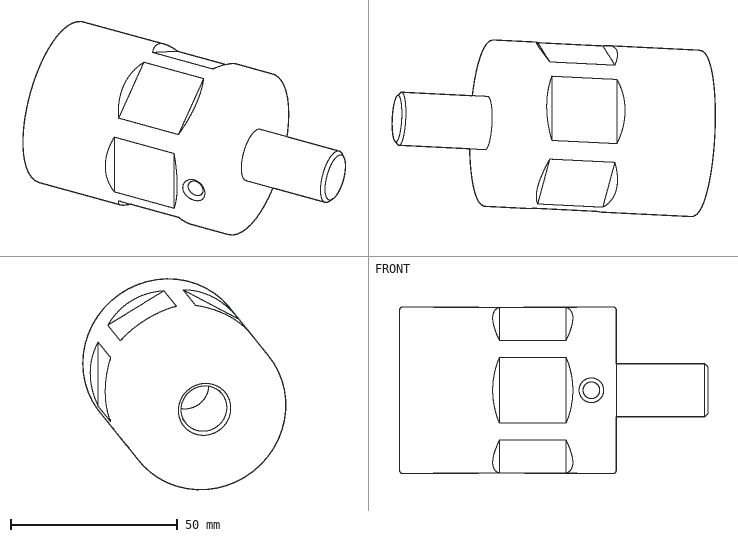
import cadquery as cq
import math

total_length = 92.5
body_diameter = 50.0
body_length = 65.0
body_rounding = 1.0
edge_chamfer = 1.0
cutter_clearance = 0.9

stud_diameter = 16.0
bore_diameter = 14.0
bore_depth = 30.0

flat_count = 6
across_flats = 46.0
flat_start = 30.0
flat_length = 20.0

pin_hole_diameter = 5.0
pin_hole_x = 57.5
pin_hole_depth = 10.0
pin_hole_tip_angle = 118.0
pin_hole_chamfer = 1.2

body_radius = body_diameter / 2
flat_apothem = across_flats / 2
flat_end = flat_start + flat_length


def make_body():
    """Rounded cylinder with the smaller stud on its +X end."""
    body = cq.Workplane("YZ").circle(body_radius).extrude(body_length)
    body = body.edges("%CIRCLE").fillet(body_rounding)
    stud = cq.Workplane("YZ", origin=(body_length, 0, 0)).circle(stud_diameter / 2)
    stud = stud.extrude(total_length - body_length)
    stud = stud.faces(">X").edges().chamfer(edge_chamfer)
    return body.union(stud)


def make_bore():
    """Blind axial bore with a chamfered mouth."""
    bore_radius = bore_diameter / 2
    profile = [
        (0, 0),
        (0, bore_radius + edge_chamfer),
        (edge_chamfer, bore_radius),
        (bore_depth, bore_radius),
        (bore_depth, 0),
    ]
    return cq.Workplane("XY").polyline(profile).close().revolve(360, (0, 0, 0), (1, 0, 0))


def make_flat_cutter():
    """Prism on the -Y side that mills one flat, with 45 degree end walls."""
    cutter_height = body_radius - flat_apothem + cutter_clearance
    profile = [
        (flat_start, -flat_apothem),
        (flat_end, -flat_apothem),
        (flat_end + cutter_height, -flat_apothem - cutter_height),
        (flat_start - cutter_height, -flat_apothem - cutter_height),
    ]
    return cq.Workplane("XY").polyline(profile).close().extrude(body_radius, both=True)


def make_pin_hole():
    """Radial blind hole on the -Y side with a conical tip."""
    hole_radius = pin_hole_diameter / 2
    tip_length = hole_radius / math.tan(math.radians(pin_hole_tip_angle / 2))
    hole_bottom = -body_radius + pin_hole_depth
    profile = [
        (0, -body_radius - cutter_clearance),
        (hole_radius, -body_radius - cutter_clearance),
        (hole_radius, hole_bottom),
        (0, hole_bottom + tip_length),
    ]
    hole = cq.Workplane("XY").polyline(profile).close().revolve(360, (0, 0, 0), (0, 1, 0))
    return hole.translate((pin_hole_x, 0, 0))


def chamfer_pin_hole(part):
    """Bevel the curved rim where the radial hole meets the body surface."""
    rim_point = (pin_hole_x, -body_radius, 0)
    return part.edges(cq.selectors.NearestToPointSelector(rim_point)).chamfer(pin_hole_chamfer)


result = make_body().cut(make_bore()).cut(make_pin_hole())
result = chamfer_pin_hole(result)

flat_cutter = make_flat_cutter()
for index in range(flat_count):
    angle = index * 360 / flat_count
    result = result.cut(flat_cutter.rotate((0, 0, 0), (1, 0, 0), angle))